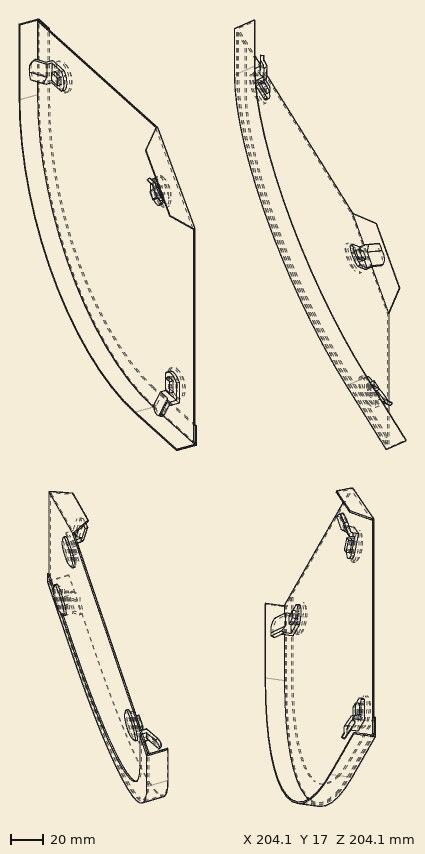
import cadquery as cq
import math

side = 204.0
corner_radius = 150.5
corner_cut = 48.3

panel_thickness = 1.0
panel_setback = 2.0
flange_overhang = 0.16
flange_taper = 45.0

rim_thickness = 1.0
rim_leg = 14.0
rim_back = rim_thickness
rim_front = rim_back - rim_leg

head_radius = 10.1
head_height = 3.4
head_edge_height = 1.4
head_flat_radius = 5.0
shank_width = 5.5
shank_length = 8.0
shank_projection = 2.4

strap_thickness = 2.0
strap_width = 14.2
end_radius = 9.0
base_reach = 8.1
riser_inner = 7.7
riser_thickness = 2.5
riser_outer = riser_inner + riser_thickness
riser_height = 4.7
blade_slope = 30.0
blade_reach = 19.8
bend_offset = 2.7
bend_angle = 28.0

edge_inset = 25.6
rim_inset = 31.8
cut_inset = 43.8
stations = [
    (rim_inset, side - edge_inset, 90.0),
    (side - edge_inset, rim_inset, 0.0),
    (side - cut_inset, side - cut_inset, 225.0),
]


def xz_plane(y):
    """Plane parallel to XZ at the given Y; extrusions run toward -Y."""
    return cq.Workplane("XZ", origin=(0, y, 0))


def rim_band(outer, inner, y, depth):
    """Band along the rim's path between two insets from its outer face, extruded toward -Y."""
    centre = corner_radius
    outer_mid = centre - (corner_radius - outer) * math.sqrt(0.5)
    inner_mid = centre - (corner_radius - inner) * math.sqrt(0.5)
    return (
        xz_plane(y)
        .moveTo(outer, side)
        .lineTo(outer, centre)
        .threePointArc((outer_mid, outer_mid), (centre, outer))
        .lineTo(side, outer)
        .lineTo(side, inner)
        .lineTo(centre, inner)
        .threePointArc((inner_mid, inner_mid), (inner, centre))
        .lineTo(inner, side)
        .close()
        .extrude(depth)
    )


def make_rim():
    """L section: a forward wall and a leg behind the panel."""
    block = rim_band(0, rim_leg, rim_back, rim_leg)
    step = rim_band(rim_thickness, rim_leg, 0, rim_leg - rim_thickness)
    return block.cut(step)


def make_flange():
    """Trapezoidal flange folded forward along the cut corner."""
    half_length = corner_cut * math.sqrt(0.5)
    depth = -rim_front
    straight = panel_thickness
    taper = (depth - straight) * math.tan(math.radians(flange_taper))
    middle = side - corner_cut / 2
    outward = flange_overhang * math.sqrt(0.5)
    outer_face = cq.Plane(
        origin=(middle + outward, 0, middle + outward), xDir=(1, 0, -1), normal=(1, 0, 1)
    )
    return (
        cq.Workplane(outer_face)
        .polyline([
            (-half_length, 0),
            (half_length, 0),
            (half_length, -straight),
            (half_length - taper, -depth),
            (-half_length + taper, -depth),
            (-half_length, -straight),
        ])
        .close()
        .extrude(-panel_thickness)
    )


def make_panel():
    mid = corner_radius - (corner_radius - panel_setback) * math.sqrt(0.5)
    sheet = (
        xz_plane(0)
        .moveTo(panel_setback, side)
        .lineTo(side - corner_cut, side)
        .lineTo(side, side - corner_cut)
        .lineTo(side, panel_setback)
        .lineTo(corner_radius, panel_setback)
        .threePointArc((mid, mid), (panel_setback, corner_radius))
        .close()
        .extrude(panel_thickness)
    )
    return sheet.union(make_flange())


def make_shank():
    """Rectangular shank on the Y axis, from the panel's back face forward."""
    length = panel_thickness + strap_thickness + shank_projection
    return xz_plane(0).rect(shank_width, shank_length).extrude(length)


def make_knob():
    dome_rise = head_height - head_edge_height
    dome_run = head_radius - head_flat_radius
    head = (
        cq.Workplane("XY")
        .lineTo(0, head_height)
        .lineTo(head_flat_radius, head_height)
        .tangentArcPoint((dome_run, -dome_rise))
        .lineTo(head_radius, 0)
        .close()
        .revolve(360, (0, 0, 0), (0, 1, 0))
    )
    return head.union(make_shank())


def make_lever():
    """Lever on the Y axis, pointing toward -Z with its bent edge on the +X side."""
    half_width = strap_width / 2
    panel_front = -panel_thickness
    slope = math.radians(blade_slope)
    bend = math.radians(bend_angle)

    shoulder = base_reach - end_radius + math.sqrt(end_radius**2 - half_width**2)
    base = (
        xz_plane(panel_front)
        .moveTo(-half_width, -riser_outer)
        .lineTo(-half_width, shoulder)
        .threePointArc((0, base_reach), (half_width, shoulder))
        .lineTo(half_width, -riser_outer)
        .close()
        .extrude(strap_thickness)
    )

    along = cq.Vector(0, -math.sin(slope), -math.cos(slope))
    forward = cq.Vector(0, -math.cos(slope), math.sin(slope))
    origin = cq.Vector(0, panel_front - riser_height, -riser_outer)
    section_plane = cq.Plane(origin=origin, xDir=(1, 0, 0), normal=along)
    blade_plane = cq.Plane(origin=origin, xDir=(1, 0, 0), normal=forward)
    blade_length = (blade_reach - riser_outer) / math.cos(slope)

    bent_rise = (half_width - bend_offset) * math.tan(bend)
    front_bend = (bend_offset - strap_thickness * math.tan(bend / 2), strap_thickness)
    back_edge = (half_width, bent_rise)
    front_edge = (
        half_width - strap_thickness * math.sin(bend),
        bent_rise + strap_thickness * math.cos(bend),
    )
    front_side = [back_edge, front_edge, front_bend, (-half_width, strap_thickness)]

    def swept(points):
        sweep_start = -2 * strap_thickness
        return (
            cq.Workplane(section_plane)
            .workplane(offset=sweep_start)
            .polyline(points)
            .close()
            .extrude(blade_length - sweep_start)
        )

    strip = swept([(-half_width, 0), (bend_offset, 0)] + front_side)
    tip_centre = end_radius - blade_length
    outline = (
        cq.Workplane(blade_plane)
        .center(0, tip_centre)
        .circle(end_radius)
        .extrude(blade_length, both=True)
        .union(
            cq.Workplane(blade_plane)
            .center(0, tip_centre + blade_length)
            .rect(strap_width, 2 * blade_length)
            .extrude(blade_length, both=True)
        )
    )
    trim_size = 4 * blade_reach
    beyond_riser = (
        cq.Workplane("XY", origin=(0, 0, -riser_inner))
        .rect(trim_size, trim_size)
        .extrude(-trim_size)
    )
    blade = strip.intersect(outline).intersect(beyond_riser)

    deep = -blade_reach
    riser = (
        xz_plane(panel_front)
        .center(0, -(riser_inner + riser_outer) / 2)
        .rect(strap_width, riser_thickness)
        .extrude(blade_reach)
        .intersect(swept([(-half_width, deep), (half_width, deep)] + front_side))
    )
    return base.union(riser).union(blade).cut(make_shank())


def place(body, x, z, turn):
    return body.rotate((0, 0, 0), (0, 1, 0), turn).translate((x, 0, z))


rim = make_rim()
panel = make_panel()
knobs = []
levers = []
for x, z, turn in stations:
    knobs.append(place(make_knob(), x, z, turn))
    levers.append(place(make_lever(), x, z, turn))
    panel = panel.cut(place(make_shank(), x, z, turn))

result = cq.Compound.makeCompound([
    rim.val(),
    panel.val(),
    *[knob.val() for knob in knobs],
    *[lever.val() for lever in levers],
])